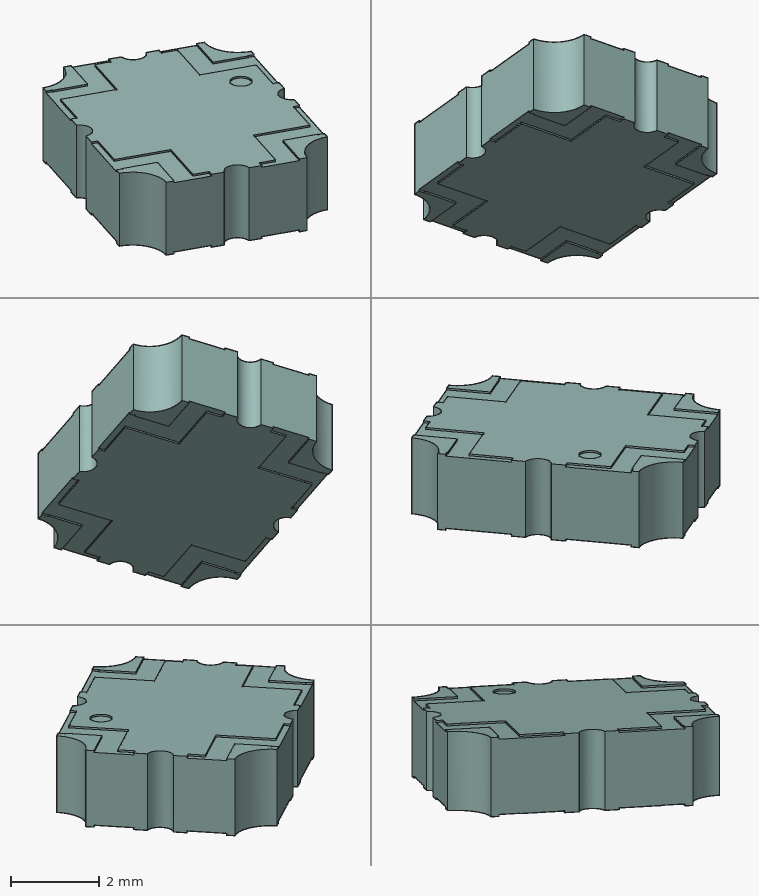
import cadquery as cq

length = 6.35
width = 5.08
height = 1.85
half_length = length / 2
half_width = width / 2

corner_radius = 0.82
notch_radius = 0.305
notch_center_offset = 0.05

clearance_depth = 0.045
pad_edge_x = 2.15
pad_edge_y = 1.53
pad_step = 0.02
center_edge_x = 1.66
center_edge_y = 1.01
strip_width = 0.15
strip_end_x = 0.635
strip_end_y = 0.615

dot_radius = 0.255
dot_x = -1.01
dot_y = 1.76
dot_depth = 0.045


def make_body():
    """Block with a round cut at each corner and at the middle of each side."""
    corners = [(x, y) for x in (-half_length, half_length) for y in (-half_width, half_width)]
    notch_x = half_length + notch_center_offset
    notch_y = half_width + notch_center_offset
    notches = [(-notch_x, 0), (notch_x, 0), (0, -notch_y), (0, notch_y)]

    block = cq.Workplane("XY").box(length, width, height)
    floor = cq.Workplane("XY", origin=(0, 0, -height / 2))
    corner_cuts = floor.pushPoints(corners).circle(corner_radius).extrude(height)
    notch_cuts = floor.pushPoints(notches).circle(notch_radius).extrude(height)
    return block.cut(corner_cuts).cut(notch_cuts)


def make_clearance(side_x, side_y, floor_z):
    """Clearance around one corner pad; side_x and side_y (+1 or -1) pick the corner."""
    strip_x = half_length - strip_width
    strip_y = half_width - strip_width
    outline = [
        (half_length, strip_end_y),
        (strip_x, strip_end_y),
        (strip_x, center_edge_y),
        (center_edge_x, center_edge_y),
        (center_edge_x, strip_y),
        (strip_end_x, strip_y),
        (strip_end_x, half_width),
        (pad_edge_x + pad_step, half_width),
        (pad_edge_x + pad_step, strip_y),
        (pad_edge_x, strip_y),
        (pad_edge_x, pad_edge_y),
        (half_length, pad_edge_y),
    ]
    corner_outline = [(side_x * x, side_y * y) for x, y in outline]
    floor = cq.Workplane("XY", origin=(0, 0, floor_z))
    return floor.polyline(corner_outline).close().extrude(clearance_depth)


def make_dot():
    """Round recess marking one corner of the top face."""
    floor_z = height / 2 - dot_depth
    return cq.Workplane("XY", origin=(dot_x, dot_y, floor_z)).circle(dot_radius).extrude(dot_depth)


result = make_body()

for clearance_z in (-height / 2, height / 2 - clearance_depth):
    for side_x in (-1, 1):
        for side_y in (-1, 1):
            result = result.cut(make_clearance(side_x, side_y, clearance_z))

result = result.cut(make_dot())